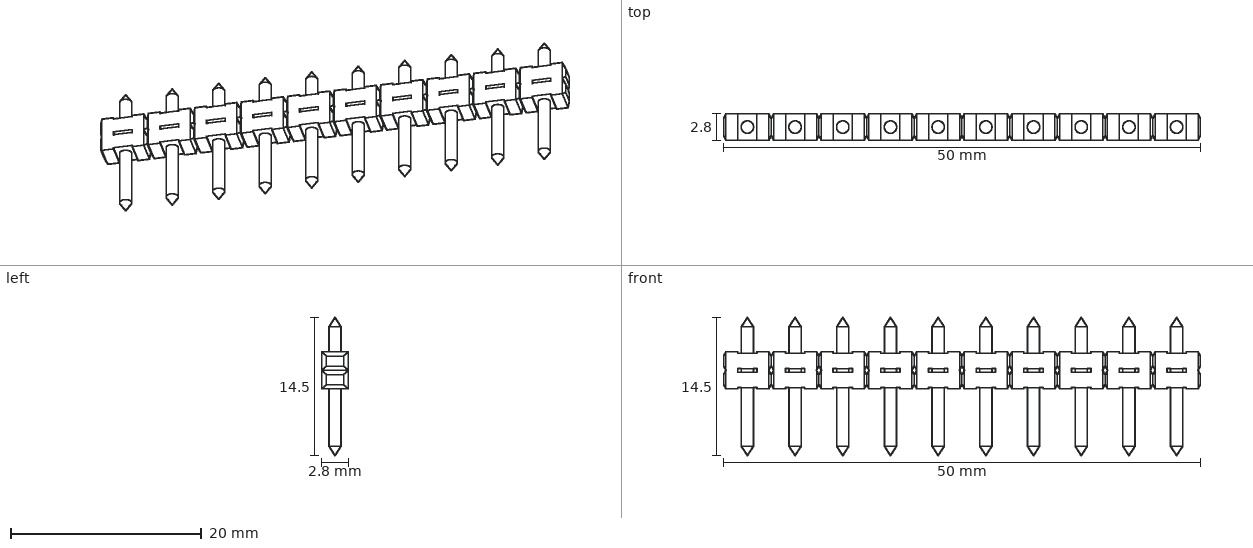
import cadquery as cq

module_count = 10
pitch = 5.0

pad_length = 0.25

block_length = pitch - 2 * pad_length
block_depth = 2.8
block_height = 3.9

relief_length = 2.0
relief_depth = 0.15
window_length = 2.0
window_height = 0.35

pads_per_end = 2
pad_base_height = block_height / pads_per_end
pad_depth_inset = 0.5
pad_height_inset = 0.45
pad_tip_depth = block_depth - 2 * pad_depth_inset
pad_tip_height = pad_base_height - 2 * pad_height_inset

pin_diameter = 1.3
pin_radius = pin_diameter / 2
pin_length = 14.5
pin_above_block = 3.6
pin_point_length = 1.0
pin_top = block_height + pin_above_block
pin_bottom = pin_top - pin_length


def make_block():
    """Block centred on the pin axis, bottom at Z = 0, with reliefs and window."""
    block = cq.Workplane("XY").box(block_length, block_depth, block_height, centered=(True, True, False))
    for relief_middle in (relief_depth / 2, block_height - relief_depth / 2):
        relief = cq.Workplane("XY").box(relief_length, block_depth, relief_depth)
        block = block.cut(relief.translate((0, 0, relief_middle)))
    window = cq.Workplane("XY").box(window_length, block_depth, window_height)
    return block.cut(window.translate((0, 0, block_height / 2)))


def make_pad(direction, middle_z):
    """Four-sided tapered pad on the block end facing along X in the given direction."""
    return (
        cq.Workplane("YZ", origin=(direction * block_length / 2, 0, middle_z))
        .rect(block_depth, pad_base_height)
        .workplane(offset=direction * pad_length)
        .rect(pad_tip_depth, pad_tip_height)
        .loft(ruled=True)
    )


def make_pin():
    """Round pin on the Z axis, pointed at both ends."""
    return (
        cq.Workplane("XZ")
        .moveTo(0, pin_bottom)
        .lineTo(pin_radius, pin_bottom + pin_point_length)
        .lineTo(pin_radius, pin_top - pin_point_length)
        .lineTo(0, pin_top)
        .close()
        .revolve(360, (0, 0, 0), (0, 1, 0))
    )


def make_module():
    """One block with its end pads and its pin."""
    module = make_block()
    for pad_index in range(pads_per_end):
        middle_z = (pad_index + 0.5) * pad_base_height
        module = module.union(make_pad(-1, middle_z))
        module = module.union(make_pad(1, middle_z))
    return module.union(make_pin())


module = make_module()
result = module
for module_index in range(1, module_count):
    result = result.union(module.translate((module_index * pitch, 0, 0)))